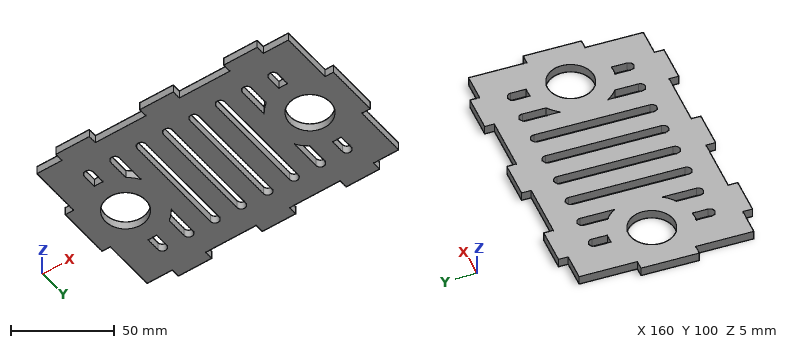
import cadquery as cq

overall_length = 160
overall_width = 100.0
thickness = 5.0

tab_depth = thickness
long_edge_tab_width = 20.0
long_edge_tab_pitch = 50.0
long_edge_tab_count = 3
end_tab_width = 30.0

hole_diameter = 24
hole_offset = 55.0
ring_width = 10.0
ring_diameter = hole_diameter + 2 * ring_width

slot_count = 8
slot_width = 5.1
slot_length = 65.0
slot_pitch = 2 * hole_offset / (slot_count - 1)

hole_centres = [(-hole_offset, 0), (hole_offset, 0)]

on_base = (True, True, False)


def tabbed_plate():
    """Rectangular plate with three tabs on each long edge and one on each end."""
    body_length = overall_length - 2 * tab_depth
    body_width = overall_width - 2 * tab_depth
    plate = cq.Workplane("XY").box(body_length, body_width, thickness, centered=on_base)
    long_edge_bars = (
        cq.Workplane("XY")
        .rarray(long_edge_tab_pitch, 1.6, long_edge_tab_count, 1)
        .box(long_edge_tab_width, overall_width, thickness, centered=on_base)
    )
    end_bar = cq.Workplane("XY").box(overall_length, end_tab_width, thickness, centered=on_base)
    return plate.union(long_edge_bars).union(end_bar)


def slot_cutter():
    """Row of round-ended slots, trimmed away around both holes."""
    slots = (
        cq.Workplane("XY")
        .rarray(slot_pitch, 1.6, slot_count, 1)
        .slot2D(slot_length, slot_width, 90)
        .extrude(thickness)
    )
    rings = (
        cq.Workplane("XY")
        .pushPoints(hole_centres)
        .circle(ring_diameter / 2)
        .extrude(thickness)
    )
    return slots.cut(rings)


def hole_cutter():
    """Pair of round through holes."""
    return (
        cq.Workplane("XY")
        .pushPoints(hole_centres)
        .circle(hole_diameter / 2)
        .extrude(thickness)
    )


result = tabbed_plate().cut(slot_cutter()).cut(hole_cutter())